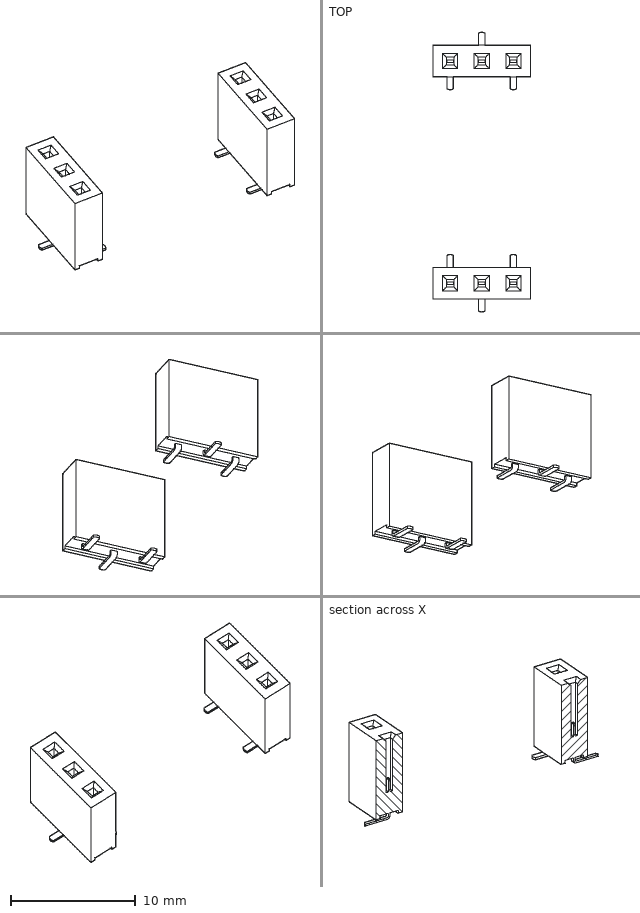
import cadquery as cq

total_span = 22.42
total_height = 7.4

housing_length = 7.82
housing_depth = 2.55
foot_height = 0.27
slot_width = 1.7
slot_height = 0.25

pin_count = 3
pin_pitch = 2.53
socket_mouth = 1.2
well_width = 0.6
funnel_depth = (socket_mouth - well_width) / 2
well_depth = 4.93

pin_width = 0.54
pin_thickness = 0.2
inner_bend_radius = 0.1
outer_bend_radius = inner_bend_radius + pin_thickness
leg_reach = 2.3
tip_bulge = 0.1
blade_height = 1.12

well_floor = total_height - well_depth
connector_offset = total_span / 2 - leg_reach


def make_housing():
    """Block with a clearance slot running the full length of its underside."""
    block = cq.Workplane("XY").workplane(offset=foot_height).box(
        housing_length, housing_depth, total_height - foot_height, centered=(True, True, False)
    )
    slot = cq.Workplane("XY").workplane(offset=foot_height).box(
        housing_length, slot_width, slot_height, centered=(True, True, False)
    )
    return block.cut(slot)


def make_socket_cavity(x):
    """Square funnel above a deep square well."""
    funnel = (
        cq.Workplane("XY", origin=(x, 0, total_height))
        .rect(socket_mouth, socket_mouth)
        .workplane(offset=-funnel_depth)
        .rect(well_width, well_width)
        .loft(ruled=True)
    )
    well = cq.Workplane("XY", origin=(x, 0, well_floor)).box(
        well_width, well_width, well_depth - funnel_depth, centered=(True, True, False)
    )
    return funnel.union(well)


def make_pin(x, side):
    """Upright stem with a leg along the base plane, pointing to side (+1 or -1) in Y."""
    half_width = pin_width / 2
    heel = -side * pin_thickness / 2
    tip = side * leg_reach
    shoulder = tip - side * tip_bulge

    leg = (
        cq.Workplane("XY", origin=(x, 0, 0))
        .moveTo(-half_width, heel)
        .lineTo(-half_width, shoulder)
        .threePointArc((0, tip), (half_width, shoulder))
        .lineTo(half_width, heel)
        .close()
        .extrude(pin_thickness)
    )
    stem = cq.Workplane("XY", origin=(x, 0, pin_thickness)).box(
        pin_width, pin_thickness, well_floor + blade_height - pin_thickness, centered=(True, True, False)
    )
    heel_edge = cq.selectors.NearestToPointSelector((x, heel, 0))
    crook_edge = cq.selectors.NearestToPointSelector((x, -heel, pin_thickness))
    pin = leg.union(stem)
    pin = pin.edges(heel_edge).fillet(outer_bend_radius)
    return pin.edges(crook_edge).fillet(inner_bend_radius)


def make_connector():
    """Housing with its pins fixed in it; the legs point to alternate sides."""
    connector = make_housing()
    for i in range(pin_count):
        x = (i - (pin_count - 1) / 2) * pin_pitch
        side = -1 if i % 2 == 0 else 1
        connector = connector.cut(make_socket_cavity(x)).union(make_pin(x, side))
    return connector


connectors = []
for turn, y in ((0, connector_offset), (180, -connector_offset)):
    placed = make_connector().rotate((0, 0, 0), (0, 0, 1), turn).translate((0, y, 0))
    connectors.append(placed.val())

result = cq.Compound.makeCompound(connectors)